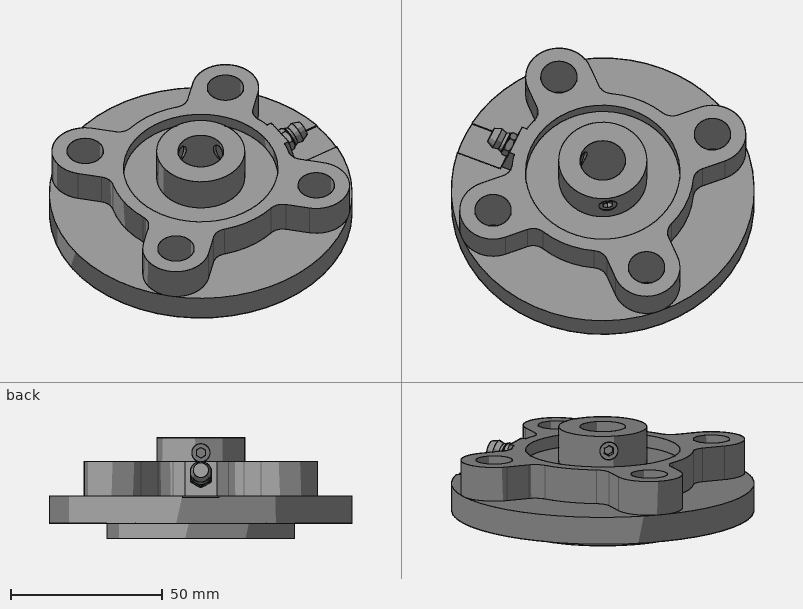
import cadquery as cq
import math

disk_diameter = 99.9
disk_thickness = 9.1
boss_diameter = 62.0
boss_height = 5.0
disk_top = boss_height + disk_thickness

housing_height = 11.4
housing_top = disk_top + housing_height
core_radius = 30.0
lobe_radius = 11.0
bolt_circle_diameter = disk_diameter - 2 * lobe_radius
bolt_hole_diameter = 12.0
arm_fillet = 5.0
arm_angles = (45, 135)

seat_diameter = 51.0
seat_depth = 4.2
ring_diameter = 29.1
ring_height = 12.0
bore_diameter = 15.0
seat_floor = housing_top - seat_depth
ring_top = seat_floor + ring_height

screw_diameter = 6.0
screw_drop = 5.0
screw_z = ring_top - screw_drop
screw_angles = (90, 210)
screw_end_radius = math.sqrt((ring_diameter / 2) ** 2 - (screw_diameter / 2) ** 2)
screw_tip_radius = 7.9
socket_across_flats = 3.0
socket_depth = 2.0

pad_width = 10.5
pad_top_y = 31.2
pad_foot_y = 34.2
slot_width = 12.1
slot_depth = 0.5
slot_floor = disk_top - slot_depth

nipple_z = 20.6
nipple_diameter = 7.0
nipple_neck_diameter = 6.0
nipple_tip_diameter = 5.0
nipple_hex_length = 2.3
nipple_hex_chamfer = 0.5
nipple_collar_end = 2.6
nipple_neck = 3.7
nipple_head = 5.6
nipple_length = 8.0


def hexagon_diameter(across_flats):
    """Corner-to-corner size of a hexagon."""
    return across_flats / math.cos(math.radians(30))


def cylinder(diameter, bottom, top):
    return cq.Workplane("XY").workplane(offset=bottom).circle(diameter / 2).extrude(top - bottom)


def make_housing():
    """Round core with four filleted arms ending in round lobes."""
    housing = cylinder(2 * core_radius, disk_top, housing_top)
    for angle in arm_angles:
        arm = (
            cq.Workplane("XY", origin=(0, 0, disk_top))
            .slot2D(bolt_circle_diameter + 2 * lobe_radius, 2 * lobe_radius, angle)
            .extrude(housing_height)
        )
        housing = housing.union(arm)

    def is_inner_corner(edge):
        center = edge.Center()
        return abs(math.hypot(center.x, center.y) - core_radius) < 0.01

    corners = housing.edges("|Z").filter(is_inner_corner)
    return corners.fillet(arm_fillet)


def make_pad():
    """Block on the +Y side of the core whose outer face leans back towards the top."""
    return (
        cq.Workplane("YZ", origin=(-pad_width / 2, 0, 0))
        .moveTo(seat_diameter / 2, slot_floor)
        .lineTo(pad_foot_y, slot_floor)
        .lineTo(pad_top_y, housing_top)
        .lineTo(seat_diameter / 2, housing_top)
        .close()
        .extrude(pad_width)
    )


def make_slot():
    """Cutter for the shallow slot running from the pad foot out to the disk rim."""
    slot_length = disk_diameter / 2 - pad_foot_y
    slot = cq.Workplane("XY").box(slot_width, slot_length, slot_depth, centered=(True, False, False))
    return slot.translate((0, pad_foot_y, slot_floor))


def make_nipple():
    """Grease nipple standing square on the sloped pad face."""
    lean = (pad_foot_y - pad_top_y) / (housing_top - slot_floor)
    base_y = pad_top_y + (housing_top - nipple_z) * lean
    face = cq.Plane(origin=(0, base_y, nipple_z), xDir=(1, 0, 0), normal=(0, 1, lean))
    corner_diameter = hexagon_diameter(nipple_diameter)
    hexagon = (
        cq.Workplane(face)
        .transformed(rotate=(0, 0, 90))
        .polygon(6, corner_diameter)
        .extrude(nipple_hex_length)
    )
    corner_trim = (
        cq.Workplane(face)
        .circle(corner_diameter / 2)
        .extrude(nipple_hex_length)
        .faces("%PLANE")
        .chamfer(nipple_hex_chamfer)
    )
    hexagon = hexagon.intersect(corner_trim)
    profile_plane = cq.Plane(origin=face.origin, xDir=face.xDir, normal=face.xDir.cross(face.zDir))
    body = (
        cq.Workplane(profile_plane)
        .moveTo(0, 0)
        .lineTo(nipple_diameter / 2, 0)
        .lineTo(nipple_diameter / 2, nipple_collar_end)
        .lineTo(nipple_neck_diameter / 2, nipple_neck)
        .lineTo(nipple_diameter / 2, nipple_head)
        .lineTo(nipple_tip_diameter / 2, nipple_length)
        .lineTo(0, nipple_length)
        .close()
        .revolve(360, (0, 0), (0, 1))
    )
    return hexagon.union(body)


def make_screw_cuts(angle):
    """Flat outer end with hex socket, and the open hole between screw tip and bore."""
    spot_depth = ring_diameter / 2 - screw_end_radius
    outward = cq.Workplane("YZ", origin=(0, 0, screw_z))
    flat_end = outward.workplane(offset=screw_end_radius).circle(screw_diameter / 2).extrude(spot_depth)
    socket = (
        outward.workplane(offset=screw_end_radius - socket_depth)
        .transformed(rotate=(0, 0, 90))
        .polygon(6, hexagon_diameter(socket_across_flats))
        .extrude(socket_depth)
    )
    inner_hole = outward.circle(screw_diameter / 2).extrude(screw_tip_radius)
    cuts = flat_end.union(socket).union(inner_hole)
    return cuts.rotate((0, 0, 0), (0, 0, 1), angle)


body = cylinder(boss_diameter, 0, boss_height)
body = body.union(cylinder(disk_diameter, boss_height, disk_top))
body = body.union(make_housing())
body = body.cut(make_slot())
body = body.union(make_pad())
body = body.union(make_nipple())

bolt_spacing = bolt_circle_diameter / math.sqrt(2)
bolt_holes = (
    cq.Workplane("XY")
    .rect(bolt_spacing, bolt_spacing, forConstruction=True)
    .vertices()
    .circle(bolt_hole_diameter / 2)
    .extrude(housing_top)
)
body = body.cut(bolt_holes)

body = body.cut(cylinder(seat_diameter, seat_floor, housing_top))
body = body.union(cylinder(ring_diameter, seat_floor, ring_top))
body = body.cut(cylinder(bore_diameter, 0, ring_top))

for screw_angle in screw_angles:
    body = body.cut(make_screw_cuts(screw_angle))

result = body